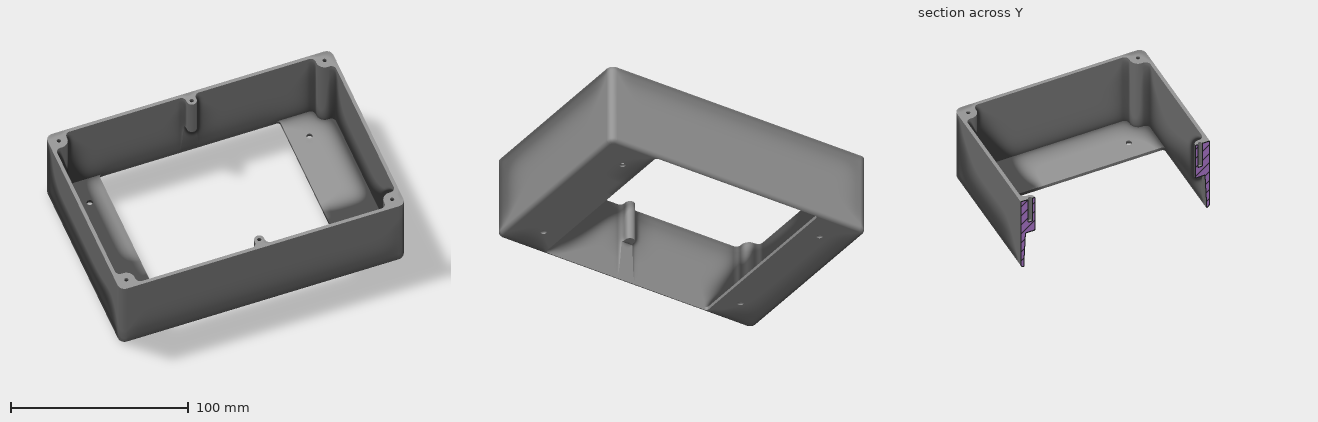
import cadquery as cq

width = 118.0
length = 172.0
height = 50.0
corner_radius = 4.1
bottom_edge_radius = 2.4

wall_thickness = 2.0
floor_thickness = 2.0
cavity_width = width - 2 * wall_thickness
cavity_length = length - 2 * wall_thickness
cavity_depth = height - floor_thickness

window_length = 108.7
window_corner_radius = 1.7

screw_inset = 6.0
screw_x = width / 2 - screw_inset
screw_y = length / 2 - screw_inset
screw_diameter = 2.4
screw_depth = 17.2
corner_boss_radius = 5.0
middle_boss_radius = 3.0
boss_blend_radius = 3.0

middle_boss_bottom = height / 2
pad_thickness = 1.0

mount_spacing_x = 81.2
mount_spacing_y = 132.3
mount_diameter = 3.5


def make_box():
    box = cq.Workplane("XY").box(width, length, height, centered=(True, True, False))
    return box.edges("|Z").fillet(corner_radius).faces("<Z").edges().fillet(bottom_edge_radius)


def corner_boss(x_sign, y_sign):
    """Square column centred on a box corner; its inner edge is round about the screw."""
    side = 2 * (screw_inset + corner_boss_radius)
    column = (
        cq.Workplane("XY", origin=(x_sign * width / 2, y_sign * length / 2, floor_thickness))
        .rect(side, side)
        .extrude(cavity_depth)
    )
    return column.edges("|Z").fillet(corner_boss_radius)


def middle_boss(x_sign):
    """Column centred on a long side; its inner end is round about the screw."""
    slot_length = 2 * (screw_inset + middle_boss_radius)
    return (
        cq.Workplane("XY", origin=(x_sign * width / 2, 0, floor_thickness))
        .slot2D(slot_length, 2 * middle_boss_radius)
        .extrude(cavity_depth)
    )


def make_cavity():
    """Inside space of the box, shaped around the bosses and their blends into the walls."""
    cavity = (
        cq.Workplane("XY", origin=(0, 0, floor_thickness))
        .rect(cavity_width, cavity_length)
        .extrude(cavity_depth)
    )
    for x_sign in (-1, 1):
        cavity = cavity.cut(middle_boss(x_sign))
        for y_sign in (-1, 1):
            cavity = cavity.cut(corner_boss(x_sign, y_sign))
    wall_faces = cavity.faces(">X or <X or >Y or <Y")
    return wall_faces.edges("|Z").fillet(boss_blend_radius)


def space_below_boss(x_sign):
    """Space under a middle boss, bounded towards the wall by the tapered pad."""
    wall_x = cavity_width / 2
    pad_x = wall_x - pad_thickness
    tip_x = screw_x - middle_boss_radius
    half_span = middle_boss_radius + boss_blend_radius
    profile = [
        (x_sign * wall_x, floor_thickness),
        (x_sign * pad_x, middle_boss_bottom),
        (x_sign * tip_x, middle_boss_bottom),
        (x_sign * tip_x, floor_thickness),
    ]
    return cq.Workplane("XZ").polyline(profile).close().extrude(half_span, both=True)


def make_window():
    window = cq.Workplane("XY").rect(cavity_width, window_length).extrude(floor_thickness)
    return window.edges("|Z").fillet(window_corner_radius)


def make_screw_holes():
    """Blind holes down from the rim into all six bosses."""
    centres = [(x, y) for x in (-screw_x, screw_x) for y in (-screw_y, 0, screw_y)]
    return (
        cq.Workplane("XY", origin=(0, 0, height - screw_depth))
        .pushPoints(centres)
        .circle(screw_diameter / 2)
        .extrude(screw_depth)
    )


def make_mount_holes():
    return (
        cq.Workplane("XY")
        .rect(mount_spacing_x, mount_spacing_y, forConstruction=True)
        .vertices()
        .circle(mount_diameter / 2)
        .extrude(floor_thickness)
    )


result = make_box().cut(make_cavity()).cut(make_window())
for side_sign in (-1, 1):
    result = result.cut(space_below_boss(side_sign))
result = result.cut(make_screw_holes()).cut(make_mount_holes())